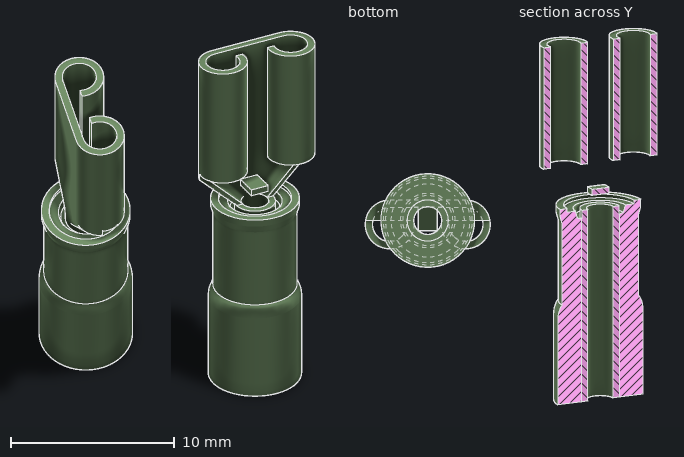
import cadquery as cq
import math

sleeve_top = 12.44
flange_radius = 2.72
flange_height = 0.48
flange_taper_height = 0.48
sleeve_radius = 2.58
base_radius = 2.87
base_height = 5.5
shoulder_height = 0.82
recess_radius = 2.25
recess_depth = 0.23
mouth_radius = 1.67
throat_radius = 1.53
mouth_depth = 0.45
throat_depth = 0.1

barrel_radius = 1.25
barrel_bore_radius = 0.85
barrel_top = sleeve_top - recess_depth
total_height = 22.85
receptacle_width = 7.65
sheet = 0.45
roll_radius = 1.497
roll_bore_radius = roll_radius - sheet
roll_x = receptacle_width / 2 - roll_radius
roll_y = roll_radius - barrel_radius
receptacle_bottom = sleeve_top + 2.26
roll_bottom = receptacle_bottom + 0.41
flat_end_half_width = 0.45

tab_width = 1.17
tab_thickness = 0.41
tab_bottom = sleeve_top + 0.62
tab_end_y = 0.65


def make_sleeve():
    """Flanged tube with a thicker base and a recessed funnel mouth."""
    shoulder_step = base_radius - sleeve_radius
    shoulder_radius = (shoulder_height**2 + shoulder_step**2) / (2 * shoulder_step)
    half_angle = math.asin(shoulder_height / shoulder_radius) / 2
    shoulder_mid = (
        base_radius - shoulder_radius * (1 - math.cos(half_angle)),
        base_height + shoulder_radius * math.sin(half_angle),
    )
    flange_bottom = sleeve_top - flange_height
    recess_floor = sleeve_top - recess_depth
    throat_z = recess_floor - mouth_depth
    profile = (
        cq.Workplane("XZ")
        .moveTo(barrel_radius, 0)
        .lineTo(base_radius, 0)
        .lineTo(base_radius, base_height)
        .threePointArc(shoulder_mid, (sleeve_radius, base_height + shoulder_height))
        .lineTo(sleeve_radius, flange_bottom - flange_taper_height)
        .lineTo(flange_radius, flange_bottom)
        .lineTo(flange_radius, sleeve_top)
        .lineTo(recess_radius, sleeve_top)
        .lineTo(recess_radius, recess_floor)
        .lineTo(mouth_radius, recess_floor)
        .lineTo(throat_radius, throat_z)
        .lineTo(barrel_radius, throat_z - throat_depth)
        .close()
    )
    return profile.revolve(360, (0, 0, 0), (0, 1, 0))


def make_receptacle():
    """Flat back with both edges rolled over into open curls."""
    height = total_height - receptacle_bottom
    base = cq.Workplane("XY").workplane(offset=receptacle_bottom)
    roll_centers = [(-roll_x, roll_y), (roll_x, roll_y)]
    back = base.center(0, sheet / 2 - barrel_radius).rect(2 * roll_x, sheet).extrude(height)
    curls = base.pushPoints(roll_centers).circle(roll_radius).circle(roll_bore_radius).extrude(height)
    opening = (
        base.center(0, (sheet - barrel_radius) / 2)
        .rect(2 * roll_x, barrel_radius - sheet)
        .extrude(height)
    )
    relief = (
        base.center(0, roll_radius)
        .rect(receptacle_width, 2 * roll_radius)
        .extrude(roll_bottom - receptacle_bottom)
    )
    return curls.cut(opening).union(back).cut(relief)


def half_loft(roll, end_radius, end_half_width):
    """Solid flare from the receptacle's lower half to half of a barrel circle."""
    edge_x = roll_x + math.sqrt(roll**2 - roll_y**2)
    start_angle = -math.asin(roll_y / roll)
    mid_angle = (start_angle - math.pi / 2) / 2
    upper_mid = (roll_x + roll * math.cos(mid_angle), roll_y + roll * math.sin(mid_angle))
    flat_y = roll_y - roll
    end_flat_angle = -math.acos(end_half_width / end_radius)
    end_mid = (end_radius * math.cos(end_flat_angle / 2), end_radius * math.sin(end_flat_angle / 2))
    end_flat_y = end_radius * math.sin(end_flat_angle)
    return (
        cq.Workplane("XY")
        .workplane(offset=barrel_top)
        .moveTo(end_radius, 0)
        .threePointArc(end_mid, (end_half_width, end_flat_y))
        .threePointArc((0, -end_radius), (-end_half_width, end_flat_y))
        .threePointArc((-end_mid[0], end_mid[1]), (-end_radius, 0))
        .close()
        .workplane(offset=receptacle_bottom - barrel_top)
        .moveTo(edge_x, 0)
        .threePointArc(upper_mid, (roll_x, flat_y))
        .lineTo(-roll_x, flat_y)
        .threePointArc((-upper_mid[0], upper_mid[1]), (-edge_x, 0))
        .close()
        .loft(ruled=True)
    )


def make_transition():
    """Open trough between the receptacle and the barrel."""
    bore_flat = flat_end_half_width * barrel_bore_radius / barrel_radius
    outer = half_loft(roll_radius, barrel_radius, flat_end_half_width)
    return outer.cut(half_loft(roll_bore_radius, barrel_bore_radius, bore_flat))


def make_tab():
    """Stop tab, rooted in the middle of the trough wall."""
    root_y = sheet / 2 - barrel_radius
    return cq.Workplane("XY").box(
        tab_width, tab_end_y - root_y, tab_thickness, centered=(True, False, False)
    ).translate((0, root_y, tab_bottom))


def make_terminal():
    barrel = cq.Workplane("XY").circle(barrel_radius).circle(barrel_bore_radius).extrude(barrel_top)
    return barrel.union(make_transition()).union(make_receptacle()).union(make_tab())


sleeve = make_sleeve()
terminal = make_terminal()
result = cq.Compound.makeCompound([sleeve.val(), *terminal.solids().vals()])